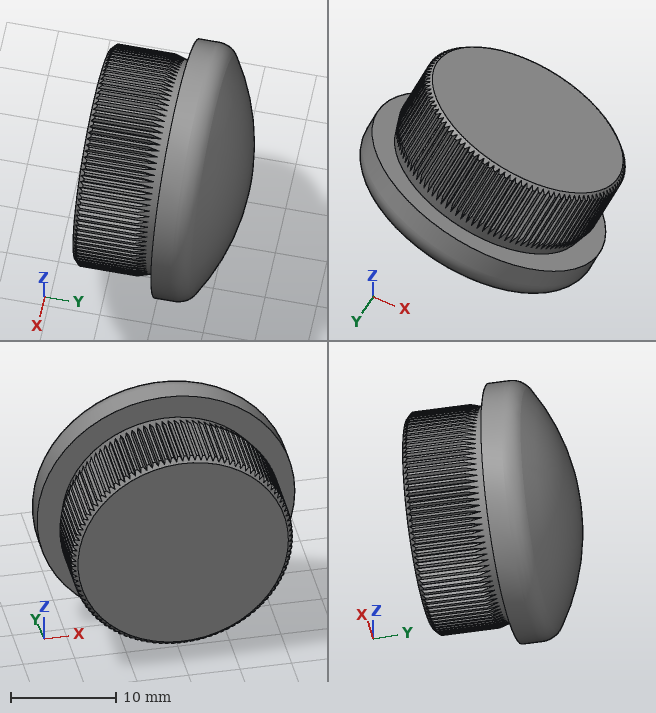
import cadquery as cq
import math

head_radius = 12.5
head_height = 7.12
rim_height = 2
rim_round = 2

plug_radius = 10.7
plug_length = 8
neck_radius = 10.1
neck_length = 2
end_chamfer = 0.5

groove_count = 110
groove_depth = 0.32
groove_width = 0.38
groove_overshoot = 0.12
head_clearance = 0.5


def make_body():
    """Revolve the half outline of head and plug about the Y axis."""
    round_center_x = head_radius - rim_round
    rise = head_height - rim_height
    dome_radius = (round_center_x**2 + rise**2 - rim_round**2) / (2 * (rise - rim_round))
    dome_center_y = head_height - dome_radius

    meet_angle = math.atan2(round_center_x, rim_height - dome_center_y)

    def on_dome(angle):
        return (dome_radius * math.sin(angle), dome_center_y + dome_radius * math.cos(angle))

    def on_rim_round(angle):
        return (round_center_x + rim_round * math.sin(angle), rim_height + rim_round * math.cos(angle))

    outline = (
        cq.Workplane("XY")
        .moveTo(0, -plug_length)
        .lineTo(plug_radius - end_chamfer, -plug_length)
        .lineTo(plug_radius, -plug_length + end_chamfer)
        .lineTo(plug_radius, -neck_length)
        .lineTo(neck_radius, 0)
        .lineTo(head_radius, 0)
        .lineTo(head_radius, rim_height)
        .threePointArc(on_rim_round((math.pi / 2 + meet_angle) / 2), on_dome(meet_angle))
        .threePointArc(on_dome(meet_angle / 2), (0, head_height))
        .close()
    )
    return outline.revolve(360, (0, 0, 0), (0, 1, 0))


def make_groove_cutters():
    """Make the triangular bars that cut the V grooves, one of them at +Z."""
    root_radius = plug_radius - groove_depth
    outer_radius = plug_radius + groove_overshoot
    half_width = groove_width / 2 * (groove_depth + groove_overshoot) / groove_depth

    bar = (
        cq.Workplane("XZ", origin=(0, -head_clearance, 0))
        .moveTo(0, root_radius)
        .lineTo(half_width, outer_radius)
        .lineTo(-half_width, outer_radius)
        .close()
        .extrude(plug_length)
        .val()
    )
    pitch_angle = 360 / groove_count
    return [bar.rotate((0, 0, 0), (0, 1, 0), i * pitch_angle) for i in range(groove_count)]


body = make_body().val()
result = cq.Workplane(body.cut(*make_groove_cutters()))